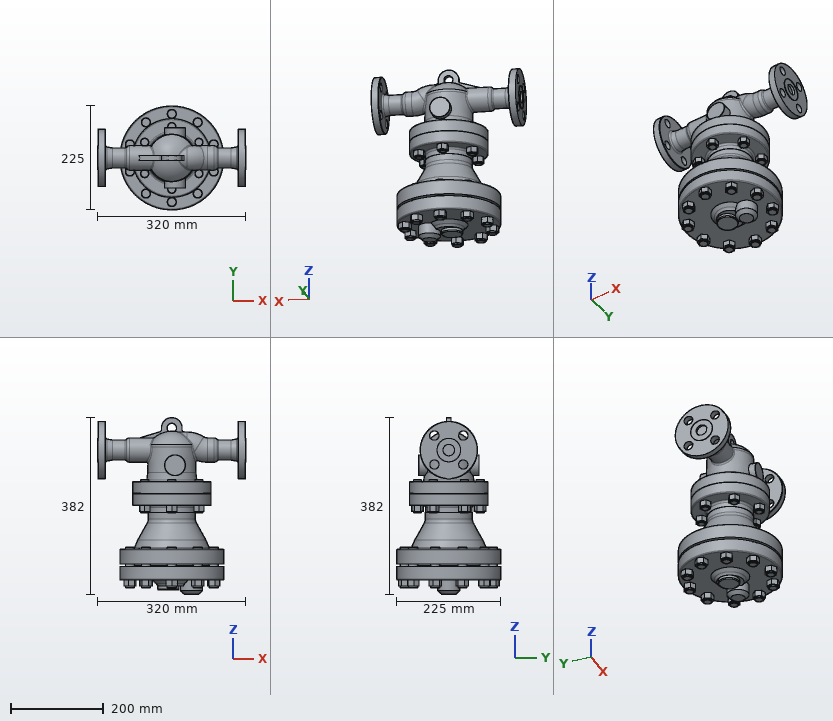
import cadquery as cq
import math

PIPE_Z = 311.7
RAISED_FACE_X = 160.0
RAISED_FACE_D = 50.8
RAISED_FACE_H = 1.0
PIPE_FLANGE_D = 124.0
PIPE_FLANGE_BACK_X = 143.0
PIPE_FLANGE_EDGE = 1.0
PIPE_BOLT_COUNT = 4
PIPE_BOLT_START_ANGLE = 45
PIPE_BOLT_CIRCLE_D = 88.2
PIPE_BOLT_HOLE_D = 20.0
PIPE_BORE_D = 25.0
PIPE_BORE_DEPTH = 5.5
HUB_D = 48.0
HUB_FILLET = 3.5
HUB_END_X = 128.5
PIPE_D = 44.0
SWELL_START_X = 101.2
SWELL_MIDDLE_X = 98.0
SWELL_MIDDLE_RISE = 1.35
SWELL_END_X = 91.0
BRANCH_D = 53.0
BRANCH_FILLET = 3.5

BEND_START_X = 77.0
BEND_RADIUS = 41.5
BEND_ANGLE = 32

BODY_TOP_D = 102.0
BODY_DRAFT_BOTTOM_R = 52.5
BODY_FOOT_R = 54.2
BODY_FOOT_FILLET = 3.0
BODY_TAPER_Z = 263.0
BODY_TOP_Z = 318.5
DOME_START_Z = 324.0
DOME_TOP_Z = 352.5
DOME_R = 118.0 / 2
SIDE_BOSS_D = 45.0
SIDE_BOSS_X = 7.0
SIDE_BOSS_Z = 279.0
SIDE_BOSS_LENGTH = 130.5
SIDE_BOSS_EDGE = 0.57

LUG_D = 45.0
LUG_HOLE_D = 20.0
LUG_THICKNESS = 10.5
LUG_Z = 382 - LUG_D / 2
LUG_FOOT_Z = 351.5
LUG_FOOT_FILLET = 3.5
LUG_RIB_END_X = -72.2
LUG_RIB_END_Z = 337.3
LUG_ROOT_Z = 328.5

UPPER_FLANGE_D = 170.0
UPPER_TOP_Z = 243.7
UPPER_JOINT_Z = 217.7
UPPER_BOTTOM_Z = 191.8
UPPER_GAP = 0.8
UPPER_SPIGOT_D = 118.0
UPPER_BOLT_COUNT = 6
UPPER_BOLT_CIRCLE_D = 135.2
UPPER_STUD_D = 18.0
UPPER_NUT_FLATS = 22.0
UPPER_NUT_H = 12.5
UPPER_STUD_TAIL = 3.0

LOWER_FLANGE_D = 225.0
LOWER_TOP_Z = 97.8
LOWER_GAP_TOP_Z = 65.5
LOWER_GAP_MIDDLE_Z = 62.5
LOWER_GAP_BOTTOM_Z = 60.7
LOWER_BOTTOM_Z = 31.0
LOWER_SPIGOT_D = 170.0
LOWER_GASKET_D = 164.3
LOWER_BOLT_COUNT = 10
LOWER_BOLT_CIRCLE_D = 190.2
LOWER_STUD_D = 20.0
LOWER_NUT_FLATS = 24.0
LOWER_NUT_H = 13.0
LOWER_STUD_TAIL = 4.0

FLANGE_EDGE = 2.3
STUD_HEAD = 4.2
STUD_EDGE = 0.95
FIRST_STUD_ANGLE = 90

NECK_D = 101.0
NECK_LOWER_D = 102.0
NECK_FILLET = 4.2
NECK_STEP_Z = 177.0
NECK_BOTTOM_Z = 163.0
CONE_TOP = (53.0, 154.7)
CONE_BREAK = (73.7, 117.5)
CONE_FOOT = (80.5, 101.5)
CONE_FILLET_R = 85.5

BOWL_TOP_R = 42.0
BOWL_BREAK = (34.5, 23.5)
BOWL_BOTTOM = (29.8, 18.0)
DISC_X = -7.3
DISC_D = 46.5
DISC_TAPER_Z = 12.0
DISC_BOTTOM_Z = 9.0
DISC_BOTTOM_D = 44.5
PLUG_D = 48.0
PLUG_X = 42.5
PLUG_TAPER_Z = 8.0
PLUG_TIP_D = 31.0


def disc(diameter, bottom_z, top_z):
    return cq.Workplane("XY").workplane(offset=bottom_z).circle(diameter / 2).extrude(top_z - bottom_z)


def pipe_end():
    """Flanged pipe on the -X side, ending where it has swollen to the branch diameter."""
    inner_r = PIPE_D / 2
    flange_x = RAISED_FACE_X - RAISED_FACE_H
    profile = (
        cq.Workplane("XZ")
        .moveTo(-RAISED_FACE_X, 0)
        .lineTo(-RAISED_FACE_X, RAISED_FACE_D / 2)
        .lineTo(-flange_x, RAISED_FACE_D / 2)
        .lineTo(-flange_x, PIPE_FLANGE_D / 2)
        .lineTo(-PIPE_FLANGE_BACK_X - PIPE_FLANGE_EDGE, PIPE_FLANGE_D / 2)
        .lineTo(-PIPE_FLANGE_BACK_X, PIPE_FLANGE_D / 2 - PIPE_FLANGE_EDGE)
        .lineTo(-PIPE_FLANGE_BACK_X, HUB_D / 2 + HUB_FILLET)
        .radiusArc((-PIPE_FLANGE_BACK_X + HUB_FILLET, HUB_D / 2), -HUB_FILLET)
        .lineTo(-HUB_END_X, inner_r)
        .lineTo(-SWELL_START_X, inner_r)
        .tangentArcPoint((-SWELL_MIDDLE_X, inner_r + SWELL_MIDDLE_RISE), relative=False)
        .tangentArcPoint((-SWELL_END_X, BRANCH_D / 2), relative=False)
        .lineTo(-SWELL_END_X, 0)
        .close()
    )
    pipe = profile.revolve(360, (0, 0, 0), (1, 0, 0))
    bolt_holes = (
        cq.Workplane("YZ", origin=(-RAISED_FACE_X, 0, 0))
        .polarArray(PIPE_BOLT_CIRCLE_D / 2, PIPE_BOLT_START_ANGLE, 360, PIPE_BOLT_COUNT)
        .circle(PIPE_BOLT_HOLE_D / 2)
        .extrude(RAISED_FACE_X - PIPE_FLANGE_BACK_X)
    )
    bore = cq.Workplane("YZ", origin=(-RAISED_FACE_X, 0, 0)).circle(PIPE_BORE_D / 2).extrude(PIPE_BORE_DEPTH)
    return pipe.cut(bolt_holes).cut(bore).translate((0, 0, PIPE_Z))


def straight_branch():
    """Plain branch that joins the -X pipe end to the body."""
    return cq.Workplane("YZ", origin=(-SWELL_END_X, 0, PIPE_Z)).circle(BRANCH_D / 2).extrude(SWELL_END_X)


def bent_branch():
    """S-bend that lifts the +X branch before it enters the body."""
    angle = math.radians(BEND_ANGLE)
    half_run = BEND_RADIUS * math.sin(angle)
    half_rise = BEND_RADIUS * (1 - math.cos(angle))
    top_x = BEND_START_X - 2 * half_run
    path = (
        cq.Workplane("XZ")
        .moveTo(SWELL_END_X, PIPE_Z)
        .lineTo(BEND_START_X, PIPE_Z)
        .radiusArc((BEND_START_X - half_run, PIPE_Z + half_rise), BEND_RADIUS)
        .radiusArc((top_x, PIPE_Z + 2 * half_rise), -BEND_RADIUS)
        .lineTo(0, PIPE_Z + 2 * half_rise)
    )
    return cq.Workplane("YZ", origin=(SWELL_END_X, 0, PIPE_Z)).circle(BRANCH_D / 2).sweep(path)


def upper_body():
    dome_center_z = DOME_TOP_Z - DOME_R
    dome_start_r = math.sqrt(DOME_R**2 - (DOME_START_Z - dome_center_z) ** 2)
    return (
        cq.Workplane("XZ")
        .moveTo(0, UPPER_TOP_Z)
        .lineTo(BODY_FOOT_R + BODY_FOOT_FILLET, UPPER_TOP_Z)
        .radiusArc((BODY_FOOT_R, UPPER_TOP_Z + BODY_FOOT_FILLET), BODY_FOOT_FILLET)
        .lineTo(BODY_DRAFT_BOTTOM_R, BODY_TAPER_Z)
        .lineTo(BODY_TOP_D / 2, BODY_TOP_Z)
        .tangentArcPoint((dome_start_r, DOME_START_Z), relative=False)
        .radiusArc((0, DOME_TOP_Z), -DOME_R)
        .close()
        .revolve(360, (0, 0, 0), (0, 1, 0))
    )


def body_with_branches():
    """Upper body blended into both branches; the joint curves are its only spline edges."""
    joined = upper_body().union(straight_branch()).union(bent_branch())
    return joined.edges("%BSPLINE").fillet(BRANCH_FILLET)


def side_bosses():
    return (
        cq.Workplane("XZ", origin=(SIDE_BOSS_X, 0, SIDE_BOSS_Z))
        .circle(SIDE_BOSS_D / 2)
        .extrude(SIDE_BOSS_LENGTH / 2, both=True)
        .faces("<Y or >Y")
        .chamfer(SIDE_BOSS_EDGE)
    )


def lifting_lug():
    """Upright eye on the dome with a rib sloping down to the -X branch."""
    lug_r = LUG_D / 2
    rib_slope = (LUG_FOOT_Z - LUG_RIB_END_Z) / (-lug_r - LUG_FOOT_FILLET - LUG_RIB_END_X)
    rib_angle = math.atan(rib_slope)
    corner_setback = LUG_FOOT_FILLET * math.tan((math.pi / 2 - rib_angle) / 2)
    plate = (
        cq.Workplane("XZ")
        .moveTo(LUG_RIB_END_X, LUG_ROOT_Z)
        .lineTo(LUG_RIB_END_X, LUG_RIB_END_Z)
        .lineTo(-lug_r - LUG_FOOT_FILLET, LUG_FOOT_Z)
        .tangentArcPoint((-lug_r, LUG_FOOT_Z + corner_setback), relative=False)
        .lineTo(-lug_r, LUG_Z)
        .threePointArc((0, LUG_Z + lug_r), (lug_r, LUG_Z))
        .lineTo(lug_r, LUG_FOOT_Z + LUG_FOOT_FILLET)
        .radiusArc((lug_r + LUG_FOOT_FILLET, LUG_FOOT_Z), -LUG_FOOT_FILLET)
        .lineTo(lug_r + LUG_FOOT_FILLET, LUG_ROOT_Z)
        .close()
        .extrude(LUG_THICKNESS / 2, both=True)
    )
    eye = cq.Workplane("XZ", origin=(0, 0, LUG_Z)).circle(LUG_HOLE_D / 2).extrude(LUG_THICKNESS, both=True)
    return plate.cut(eye)


def flange_pair(diameter, top_z, gap_top_z, gap_bottom_z, bottom_z):
    """Two facing flanges, rounded on their outer rims and open at the joint."""
    upper = disc(diameter, gap_top_z, top_z).edges(">Z").fillet(FLANGE_EDGE)
    lower = disc(diameter, bottom_z, gap_bottom_z).edges("<Z").fillet(FLANGE_EDGE)
    return [upper, lower]


def studs(count, circle_d, stud_d, nut_flats, nut_h, tail, top_z, bottom_z):
    """Ring of studs with a hexagon nut under the lower flange."""
    nut_corners = nut_flats / math.cos(math.pi / 6)
    stud = disc(stud_d, bottom_z - nut_h - tail, top_z + STUD_HEAD).faces("<Z or >Z").chamfer(STUD_EDGE)
    nut = (
        cq.Workplane("XY")
        .workplane(offset=bottom_z - nut_h)
        .polygon(6, nut_corners)
        .extrude(nut_h)
    )
    fastener = stud.union(nut).translate((circle_d / 2, 0, 0))
    return [fastener.rotate((0, 0, 0), (0, 0, 1), FIRST_STUD_ANGLE + i * 360 / count) for i in range(count)]


def neck():
    """Neck and bell-shaped cone joining the two flange pairs."""
    neck_r = NECK_D / 2
    return (
        cq.Workplane("XZ")
        .moveTo(0, UPPER_BOTTOM_Z)
        .lineTo(neck_r + NECK_FILLET, UPPER_BOTTOM_Z)
        .radiusArc((neck_r, UPPER_BOTTOM_Z - NECK_FILLET), -NECK_FILLET)
        .lineTo(neck_r, NECK_STEP_Z)
        .lineTo(NECK_LOWER_D / 2, NECK_STEP_Z)
        .lineTo(NECK_LOWER_D / 2, NECK_BOTTOM_Z)
        .tangentArcPoint(CONE_TOP, relative=False)
        .lineTo(*CONE_BREAK)
        .lineTo(*CONE_FOOT)
        .tangentArcPoint((CONE_FILLET_R, LOWER_TOP_Z), relative=False)
        .lineTo(0, LOWER_TOP_Z)
        .close()
        .revolve(360, (0, 0, 0), (0, 1, 0))
    )


def tapered_tip(center_x, bottom_z, bottom_d, top_z, top_d):
    cone = cq.Solid.makeCone(bottom_d / 2, top_d / 2, top_z - bottom_z, pnt=cq.Vector(center_x, 0, bottom_z))
    return cq.Workplane(cone)


def underside_bowl():
    """Flared bowl under the lower flange with an off-centre disc on its bottom."""
    bowl = (
        cq.Workplane("XZ")
        .moveTo(0, LOWER_BOTTOM_Z)
        .lineTo(BOWL_TOP_R, LOWER_BOTTOM_Z)
        .lineTo(*BOWL_BREAK)
        .tangentArcPoint(BOWL_BOTTOM, relative=False)
        .lineTo(0, BOWL_BOTTOM[1])
        .close()
        .revolve(360, (0, 0, 0), (0, 1, 0))
    )
    rim = disc(DISC_D, DISC_TAPER_Z, BOWL_BOTTOM[1]).translate((DISC_X, 0, 0))
    taper = tapered_tip(DISC_X, DISC_BOTTOM_Z, DISC_BOTTOM_D, DISC_TAPER_Z, DISC_D)
    return bowl.union(rim).union(taper)


def drain_plug():
    barrel = disc(PLUG_D, PLUG_TAPER_Z, LOWER_BOTTOM_Z).translate((PLUG_X, 0, 0))
    return barrel.union(tapered_tip(PLUG_X, 0, PLUG_TIP_D, PLUG_TAPER_Z, PLUG_D))


pipe_minus_x = pipe_end()
parts = [
    neck(),
    *flange_pair(
        UPPER_FLANGE_D,
        UPPER_TOP_Z,
        UPPER_JOINT_Z + UPPER_GAP / 2,
        UPPER_JOINT_Z - UPPER_GAP / 2,
        UPPER_BOTTOM_Z,
    ),
    disc(UPPER_SPIGOT_D, UPPER_BOTTOM_Z, UPPER_TOP_Z),
    *flange_pair(LOWER_FLANGE_D, LOWER_TOP_Z, LOWER_GAP_TOP_Z, LOWER_GAP_BOTTOM_Z, LOWER_BOTTOM_Z),
    disc(LOWER_SPIGOT_D, LOWER_GAP_MIDDLE_Z, LOWER_TOP_Z),
    disc(LOWER_GASKET_D, LOWER_BOTTOM_Z, LOWER_GAP_MIDDLE_Z),
    body_with_branches(),
    pipe_minus_x,
    pipe_minus_x.mirror("YZ"),
    side_bosses(),
    lifting_lug(),
    underside_bowl(),
    drain_plug(),
    *studs(
        UPPER_BOLT_COUNT, UPPER_BOLT_CIRCLE_D, UPPER_STUD_D, UPPER_NUT_FLATS, UPPER_NUT_H,
        UPPER_STUD_TAIL, UPPER_TOP_Z, UPPER_BOTTOM_Z,
    ),
    *studs(
        LOWER_BOLT_COUNT, LOWER_BOLT_CIRCLE_D, LOWER_STUD_D, LOWER_NUT_FLATS, LOWER_NUT_H,
        LOWER_STUD_TAIL, LOWER_TOP_Z, LOWER_BOTTOM_Z,
    ),
]

result = parts[0]
for part in parts[1:]:
    result = result.union(part)